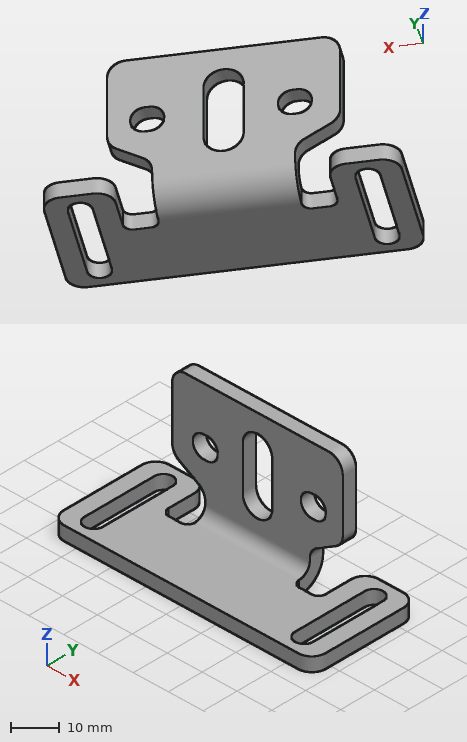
import cadquery as cq
import math

sheet = 4.0
inner_bend = 3.15
outer_bend = inner_bend + sheet
corner_radius = 4.0

base_width = 75.0
base_depth = 31.0
ear_width = 15.0
strap_slot_width = 5.2
strap_slot_length = 25.9
strap_slot_edge = 7.35

neck_width = 30.0
relief_depth = 13.6
relief_radius = 2.0

total_height = 37.0
wall_width = 48.9
wall_setback = 4.5
shoulder_height = 15.5
shoulder_angle = math.radians(30)
hole_height = 21.15
center_slot_length = 21.1
center_slot_width = 8.4
side_hole_length = 7.1
side_hole_height = 6.2
side_hole_pitch = 31.0
side_hole_shift = 0.5

wall_back = base_depth - wall_setback
bend_y = wall_back - outer_bend
bend_z = outer_bend
ear_inner_x = base_width / 2 - ear_width
relief_y = base_depth - relief_depth


def make_base():
    """Flat plate with two ears, relief notches and strap slots."""
    plate = cq.Workplane("XY").rect(base_width, base_depth).extrude(sheet)
    plate = plate.translate((0, base_depth / 2, 0))
    gap = (
        cq.Workplane("XY")
        .center(0, (bend_y + base_depth) / 2)
        .rect(2 * ear_inner_x, base_depth - bend_y)
        .extrude(sheet)
    )
    plate = plate.cut(gap).edges("|Z").edges("<Y or >Y").fillet(corner_radius)
    relief_width = ear_inner_x - neck_width / 2
    for side in (-1, 1):
        relief = (
            cq.Workplane("XY")
            .center(side * (neck_width + relief_width) / 2, (relief_y + base_depth) / 2)
            .rect(relief_width, relief_depth)
            .extrude(sheet)
            .edges("|Z and <Y")
            .fillet(relief_radius)
        )
        plate = plate.cut(relief)
    slot_x = base_width / 2 - strap_slot_edge
    slots = (
        cq.Workplane("XY")
        .pushPoints([(-slot_x, base_depth / 2), (slot_x, base_depth / 2)])
        .slot2D(strap_slot_length, strap_slot_width, 90)
        .extrude(sheet)
    )
    return plate.cut(slots)


def make_bend():
    """Quarter-round bend joining the base to the wall."""
    diagonal = math.sqrt(0.5)
    return (
        cq.Workplane("YZ", origin=(-neck_width / 2, 0, 0))
        .moveTo(bend_y, 0)
        .threePointArc(
            (bend_y + outer_bend * diagonal, bend_z - outer_bend * diagonal),
            (wall_back, bend_z),
        )
        .lineTo(wall_back - sheet, bend_z)
        .threePointArc(
            (bend_y + inner_bend * diagonal, bend_z - inner_bend * diagonal),
            (bend_y, sheet),
        )
        .close()
        .extrude(neck_width)
    )


def make_wall():
    """Upright wall with sloping shoulders, a centre slot and two side holes."""
    half_wall = wall_width / 2
    half_neck = neck_width / 2
    neck_top = shoulder_height - (half_wall - half_neck) * math.tan(shoulder_angle)
    outline = [
        (-half_neck, bend_z),
        (-half_neck, neck_top),
        (-half_wall, shoulder_height),
        (-half_wall, total_height),
        (half_wall, total_height),
        (half_wall, shoulder_height),
        (half_neck, neck_top),
        (half_neck, bend_z),
    ]
    plane = cq.Workplane("XZ", origin=(0, wall_back, 0))
    wall = plane.polyline(outline).close().extrude(sheet)
    wall = wall.edges("|Y").edges("not(<Z)").fillet(corner_radius)
    center_slot = (
        plane.center(0, hole_height)
        .slot2D(center_slot_length, center_slot_width, 90)
        .extrude(sheet)
    )
    side_holes = (
        plane.center(side_hole_shift, hole_height)
        .pushPoints([(-side_hole_pitch / 2, 0), (side_hole_pitch / 2, 0)])
        .slot2D(side_hole_length, side_hole_height)
        .extrude(sheet)
    )
    return wall.cut(center_slot).cut(side_holes)


result = make_base().union(make_bend()).union(make_wall())